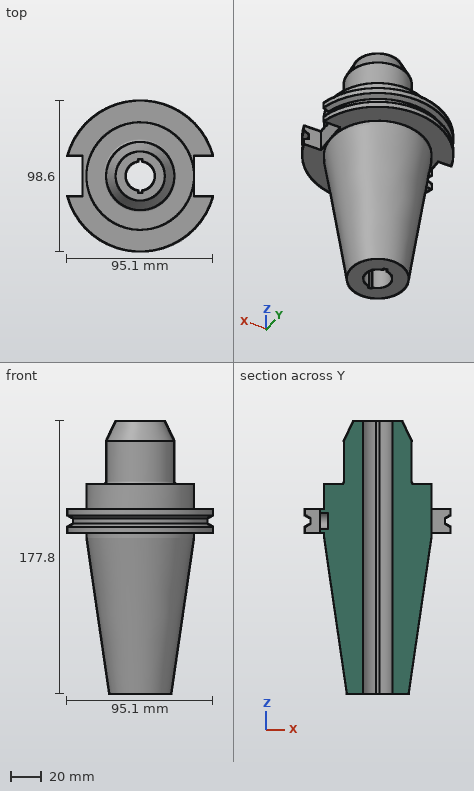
import cadquery as cq
import math

total_height = 177.8
taper_height = 101.5
flange_bottom = 104.7
flange_thickness = 15.8
boss_height = 16.2
nose_tip_height = 13.0
flange_top = flange_bottom + flange_thickness
flange_middle = flange_bottom + flange_thickness / 2
boss_top = flange_top + boss_height

taper_slope = 7 / 24 / 2
boss_radius = 35.0
taper_end_radius = boss_radius - taper_height * taper_slope
flange_radius = 49.3
nose_radius = 22.2
nose_tip_radius = 16.0
nose_fillet = 1.6

groove_floor_radius = 45.7
groove_floor_width = 3.4
groove_wall_angle = 30.0
groove_wall_height = (flange_radius - groove_floor_radius) * math.tan(math.radians(groove_wall_angle))
groove_mouth_width = groove_floor_width + 2 * groove_wall_height

slot_width = 26.1
left_slot_floor = 37.7
right_slot_floor = 35.0
side_hole_diameter = 10.0
side_hole_depth = 5.3

bore_radius = 9.5
bore_groove_width = 2.5
bore_groove_reach = 10.8


def turned_body():
    profile = (
        cq.Workplane("XZ")
        .lineTo(taper_end_radius, 0)
        .lineTo(boss_radius, taper_height)
        .lineTo(boss_radius, flange_bottom)
        .lineTo(flange_radius, flange_bottom)
        .lineTo(flange_radius, flange_middle - groove_mouth_width / 2)
        .lineTo(groove_floor_radius, flange_middle - groove_floor_width / 2)
        .lineTo(groove_floor_radius, flange_middle + groove_floor_width / 2)
        .lineTo(flange_radius, flange_middle + groove_mouth_width / 2)
        .lineTo(flange_radius, flange_top)
        .lineTo(boss_radius, flange_top)
        .lineTo(boss_radius, boss_top)
        .lineTo(nose_radius + nose_fillet, boss_top)
        .radiusArc((nose_radius, boss_top + nose_fillet), nose_fillet)
        .lineTo(nose_radius, total_height - nose_tip_height)
        .lineTo(nose_tip_radius, total_height)
        .lineTo(0, total_height)
        .close()
    )
    return profile.revolve(360, (0, 0), (0, 1))


def drive_slot(side, floor_distance):
    """Cutter for a slot across the flange; side is -1 for -X and +1 for +X."""
    depth = flange_radius - floor_distance
    return cq.Workplane("XY").box(depth, slot_width, flange_thickness).translate(
        (side * (floor_distance + depth / 2), 0, flange_middle)
    )


def side_hole():
    """Blind radial hole in the floor of the -X slot."""
    return (
        cq.Workplane("YZ", origin=(-left_slot_floor, 0, flange_middle))
        .circle(side_hole_diameter / 2)
        .extrude(side_hole_depth)
    )


def grooved_bore():
    bore = cq.Workplane("XY").circle(bore_radius).extrude(total_height)
    grooves = cq.Workplane("XY").rect(bore_groove_width, 2 * bore_groove_reach).extrude(total_height)
    return bore.union(grooves)


result = (
    turned_body()
    .cut(drive_slot(-1, left_slot_floor))
    .cut(drive_slot(1, right_slot_floor))
    .cut(side_hole())
    .cut(grooved_bore())
)